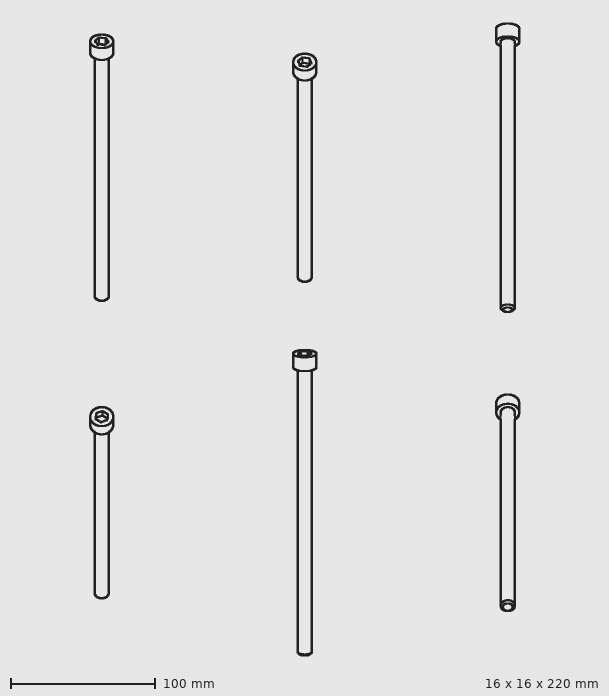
import cadquery as cq
import math

total_length = 220.0
head_diameter = 16.0
head_height = 10.1
shank_diameter = 10.0
tip_chamfer = 1.5
socket_across_flats = 8.1
socket_depth = 5.5

shank_length = total_length - head_height
socket_across_corners = socket_across_flats / math.cos(math.pi / 6)

shank = (
    cq.Workplane("XY")
    .circle(shank_diameter / 2)
    .extrude(shank_length)
    .faces("<Z")
    .chamfer(tip_chamfer)
)

head = (
    cq.Workplane("XY")
    .workplane(offset=shank_length)
    .circle(head_diameter / 2)
    .extrude(head_height)
)

socket = (
    cq.Workplane("XY")
    .workplane(offset=total_length - socket_depth)
    .polygon(6, socket_across_corners)
    .extrude(socket_depth)
)

result = shank.union(head).cut(socket)